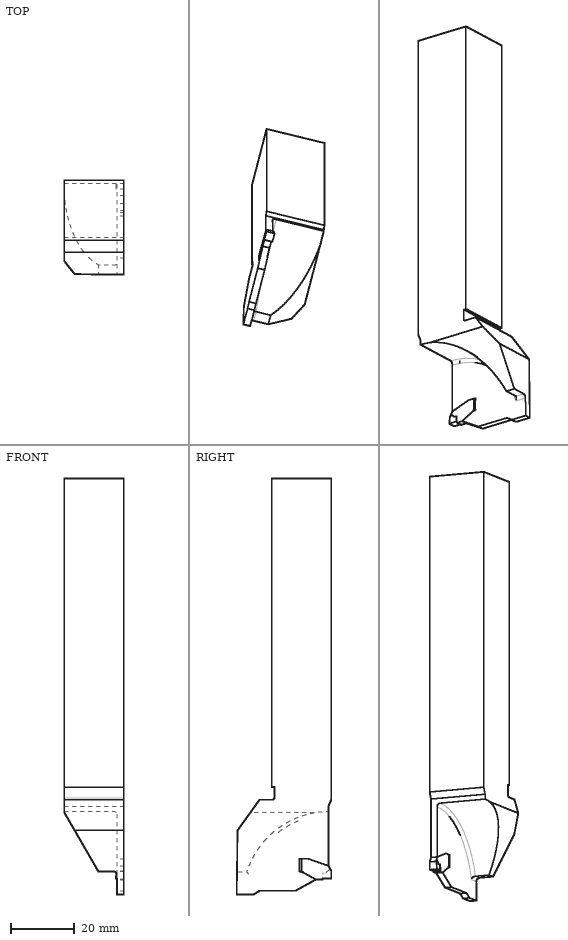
import cadquery as cq
import math

length = 132.0
shank_side = 19.0
back_y = 30.1
shank_front_y = back_y - shank_side

shank_bottom_z = 30.1
blade_back_y = 29.2
blade_back_top_z = 28.0
relief_top_z = 34.0
relief_depth = 0.9
relief_radius = 0.7
ledge_front_y = 7.3
head_front_y = 0.3
head_front_z = 20.3

toe_back_y = 5.4
heel_front_y = 7.4
heel_back_y = 18.7
heel_z = 1.2
jaw_y = 25.2
jaw_z = 4.8

blade_thickness = 2.2
blade_x = shank_side - blade_thickness
slope_top_z = 26.1
slope_angle = 60.0
arc_radius = 27.2
arc_top_z = 26.4
arc_center_z = arc_top_z - arc_radius
recess_floor_z = 7.3
root_radius = 1.0

insert_top_z = 11.4
insert_shoulder_y = 22.7
insert_inner_y = 20.6
insert_inner_z = 7.4
insert_chamfer_y = 21.1
insert_chamfer_z = 7.0
seat_clearance = 0.7
seat_mouth_z = 9.1
edge_y = 30.1
edge_z = 5.0
tip_top_z = 7.5
tip_inner_y = 27.3
tip_shoulder_y = 28.2
tip_shoulder_z = 7.0
tip_corner_y = 29.5
tip_relief_z = 8.0
tip_overhang = 0.4


def side_plate(points, start_x, end_x):
    """Extrude a closed (Y, Z) outline along X."""
    return cq.Workplane("YZ").workplane(offset=start_x).polyline(points).close().extrude(end_x - start_x)


def make_blank():
    relief_y = shank_front_y + relief_depth
    profile = [
        (shank_front_y, length),
        (back_y, length),
        (back_y, shank_bottom_z),
        (blade_back_y, blade_back_top_z),
        (blade_back_y, edge_z),
        (jaw_y, jaw_z),
        (heel_back_y, heel_z),
        (heel_front_y, heel_z),
        (toe_back_y, 0),
        (0, 0),
        (head_front_y, head_front_z),
        (ledge_front_y, shank_bottom_z),
        (relief_y, shank_bottom_z),
        (relief_y, relief_top_z),
        (shank_front_y, relief_top_z),
    ]
    relief_corner = cq.selectors.NearestToPointSelector((shank_side / 2, relief_y, shank_bottom_z))
    return side_plate(profile, 0, shank_side).edges(relief_corner).fillet(relief_radius)


def make_slope_cut():
    """Wedge that tapers the -X side of the head toward the blade."""
    slope_run = slope_top_z / math.tan(math.radians(slope_angle))
    return (
        cq.Workplane("XZ")
        .polyline([(0, slope_top_z), (slope_run, 0), (0, 0)])
        .close()
        .extrude(-back_y)
    )


def make_recess_cut():
    """Recess beside the blade: a disc joined to a slab, rounded where they meet the blade."""
    disc = cq.Workplane("YZ").center(blade_back_y, arc_center_z).circle(arc_radius).extrude(blade_x)
    slab = cq.Workplane("XY").box(blade_x, 2 * back_y, recess_floor_z + back_y, centered=(False, True, False))
    slab = slab.translate((0, 0, -back_y))
    return disc.union(slab).faces(">X").edges().fillet(root_radius)


def insert_outline():
    return [
        (edge_y, edge_z),
        (edge_y, tip_top_z),
        (blade_back_y, seat_mouth_z),
        (insert_shoulder_y, insert_top_z),
        (insert_inner_y, insert_top_z),
        (insert_inner_y, insert_inner_z),
        (insert_chamfer_y, insert_chamfer_z),
        (jaw_y, jaw_z),
        (tip_inner_y, jaw_z),
        (tip_inner_y, edge_z),
    ]


def make_seat_cut():
    """Insert outline opened past the back of the blade, plus the gap behind the insert."""
    mouth = [
        (back_y, 0),
        (back_y, seat_mouth_z),
        (blade_back_y, seat_mouth_z),
        (jaw_y, jaw_z),
        (jaw_y, 0),
    ]
    gap = [
        (insert_inner_y, insert_top_z),
        (insert_inner_y - seat_clearance, insert_top_z),
        (insert_inner_y - seat_clearance, insert_inner_z),
        (insert_chamfer_y, insert_chamfer_z),
        (insert_inner_y, insert_inner_z),
    ]
    seat = side_plate(insert_outline(), blade_x, shank_side)
    for opening in (mouth, gap):
        seat = seat.union(side_plate(opening, blade_x, shank_side))
    return seat


def make_holder():
    return make_blank().cut(make_slope_cut()).cut(make_recess_cut()).cut(make_seat_cut())


def make_insert():
    """Insert flush with the blade, widening down to the cutting edge at its tip."""
    body = side_plate(insert_outline(), blade_x, shank_side)
    tip_wedge = (
        cq.Workplane("XZ", origin=(0, tip_inner_y, 0))
        .polyline([(blade_x, tip_relief_z), (blade_x - tip_overhang, edge_z), (blade_x, edge_z)])
        .close()
        .extrude(tip_inner_y - edge_y)
    )
    tip_side = [
        (edge_y, edge_z),
        (edge_y, tip_top_z),
        (tip_corner_y, tip_relief_z),
        (tip_shoulder_y, tip_shoulder_z),
        (tip_inner_y, tip_shoulder_z),
        (tip_inner_y, edge_z),
    ]
    tip = tip_wedge.intersect(side_plate(tip_side, blade_x - tip_overhang, blade_x))
    return body.union(tip)


holder = make_holder()
insert = make_insert()
result = cq.Compound.makeCompound([holder.solids().val(), insert.solids().val()])